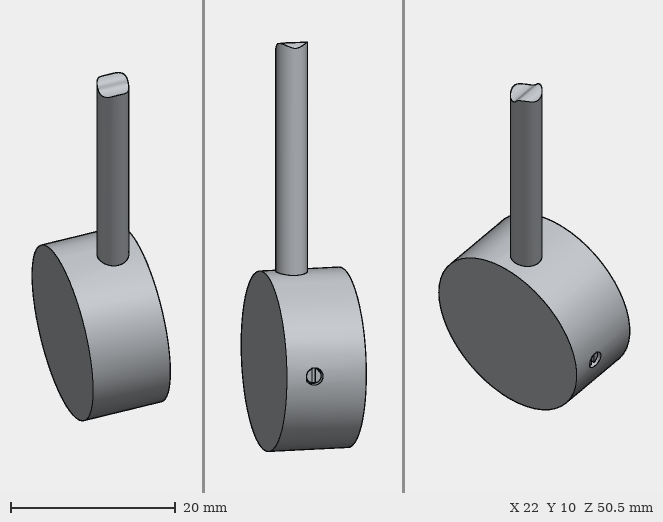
import cadquery as cq

disc_diameter = 22.0
disc_radius = disc_diameter / 2
disc_thickness = 10.0

total_height = 50.45
side_feature_y = 1.5
cable_diameter = 3.9
cable_radius = cable_diameter / 2
wave_height = 0.5

screw_hole_diameter = 2.1
screw_diameter = 1.8
screw_hole_depth = 1.0
screw_recess = 0.4
slot_width = 0.45
slot_depth = 0.4


def make_disc():
    return cq.Workplane("XZ").circle(disc_radius).extrude(disc_thickness / 2, both=True)


def make_cable():
    """Round cable whose broken end is an S-shaped wave across X."""
    crest_z = total_height - disc_radius
    middle_z = crest_z - wave_height
    profile = (
        cq.Workplane("XZ", origin=(0, side_feature_y, 0))
        .moveTo(-cable_radius, 0)
        .lineTo(-cable_radius, middle_z)
        .threePointArc((-cable_radius / 2, crest_z), (0, middle_z))
        .threePointArc((cable_radius / 2, middle_z - wave_height), (cable_radius, middle_z))
        .lineTo(cable_radius, 0)
        .close()
        .extrude(cable_radius, both=True)
    )
    rod = cq.Workplane("XY", origin=(0, side_feature_y, 0)).circle(cable_radius).extrude(crest_z)
    return rod.intersect(profile)


def rim_cylinder(diameter, start_depth, end_depth):
    """Cylinder along X between two depths below the -X side of the rim."""
    return (
        cq.Workplane("YZ", origin=(start_depth - disc_radius, side_feature_y, 0))
        .circle(diameter / 2)
        .extrude(end_depth - start_depth)
    )


def make_screw():
    slot = cq.Workplane("XY").box(2 * slot_depth, slot_width, screw_diameter)
    slot = slot.translate((screw_recess - disc_radius, side_feature_y, 0))
    return rim_cylinder(screw_diameter, screw_recess, screw_hole_depth).cut(slot)


screw_hole = rim_cylinder(screw_hole_diameter, 0, screw_hole_depth)
result = make_disc().union(make_cable()).cut(screw_hole).union(make_screw())